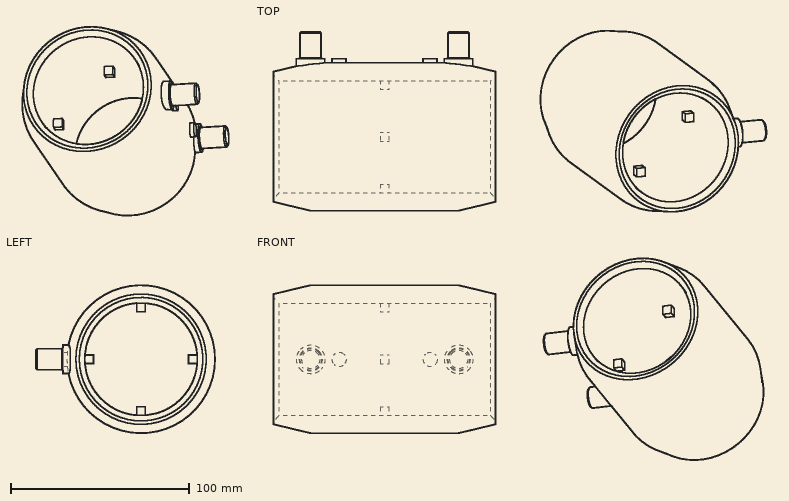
import cadquery as cq

length = 124.5
outer_diameter = 83.0
end_diameter = 73.1
bore_diameter = 63.0
taper_length = 20.8
mouth_diameter = 69.2
mouth_depth = 3.0

overall_width = 100.5
post_tip_y = overall_width - outer_diameter / 2
post_diameter = 12.0
post_tip_chamfer = 0.9
post_root_cone = 0.5
collar_diameter = 16.0
collar_top_y = 43.8
button_diameter = 8.0
post_offset = length / 2 - taper_length
button_offset = 25.5

stop_size = 5.0
stop_count = 4

outer_radius = outer_diameter / 2
bore_radius = bore_diameter / 2
root_radius = (bore_radius + end_diameter / 2) / 2


def make_sleeve():
    """Revolved tube with tapered ends and a conical lead-in at each mouth."""
    half_length = length / 2
    straight_half = half_length - taper_length
    bore_half = half_length - mouth_depth
    profile = [
        (-bore_half, bore_radius),
        (-half_length, mouth_diameter / 2),
        (-half_length, end_diameter / 2),
        (-straight_half, outer_radius),
        (straight_half, outer_radius),
        (half_length, end_diameter / 2),
        (half_length, mouth_diameter / 2),
        (bore_half, bore_radius),
    ]
    return cq.Workplane("XY").polyline(profile).close().revolve(360, (0, 0, 0), (1, 0, 0))


def make_button(x):
    """Round indicator button, level with the collar tops."""
    height = collar_top_y - root_radius
    plane = cq.Plane(origin=(x, root_radius, 0), xDir=(1, 0, 0), normal=(0, 1, 0))
    return cq.Workplane(plane).circle(button_diameter / 2).extrude(height)


def make_terminal(x):
    """Collar and post turned as one piece, with a chamfered tip and a small cone at the post root."""
    collar_radius = collar_diameter / 2
    post_radius = post_diameter / 2
    profile = [
        (0, root_radius),
        (collar_radius, root_radius),
        (collar_radius, collar_top_y),
        (post_radius + post_root_cone, collar_top_y),
        (post_radius, collar_top_y + post_root_cone),
        (post_radius, post_tip_y - post_tip_chamfer),
        (post_radius - post_tip_chamfer, post_tip_y),
        (0, post_tip_y),
    ]
    terminal = cq.Workplane("XY").polyline(profile).close().revolve(360, (0, 0, 0), (0, 1, 0))
    return terminal.translate((x, 0, 0))


def make_stop(angle):
    """Square block at mid-length, reaching from the wall into the bore."""
    tip_y = bore_radius - stop_size
    height = root_radius - tip_y
    block = cq.Workplane("XY").box(stop_size, height, stop_size)
    return block.translate((0, tip_y + height / 2, 0)).rotate((0, 0, 0), (1, 0, 0), angle)


result = make_sleeve()
for side in (-1, 1):
    result = result.union(make_terminal(side * post_offset))
    result = result.union(make_button(side * button_offset))
for index in range(stop_count):
    result = result.union(make_stop(index * 360 / stop_count))